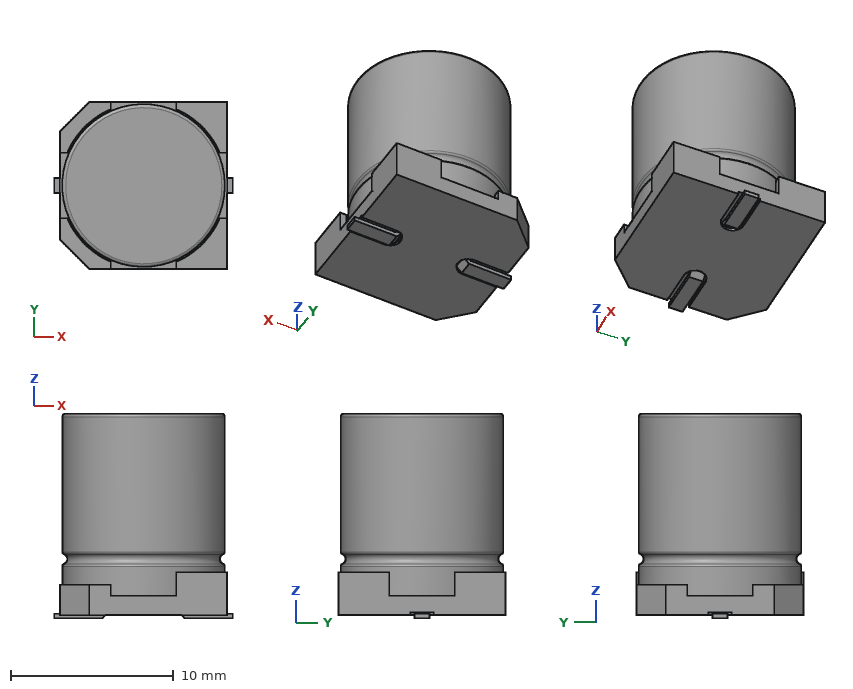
import cadquery as cq
import math


total_height = 12.6
lead_span = 11.0
base_side = 10.3

base_bottom = 0.2
seat_height = 1.39
low_corner_height = 2.08
high_corner_height = 2.85
corner_chamfer = 1.83
notch_width = 4.01
seat_clearance = 0.1

can_radius = 5.0
top_fillet = 0.2
groove_center_height = 3.65
groove_depth = 0.3
groove_radius = 0.33
lip_radius = 0.15

lead_width = 0.95
lead_thickness = 0.3
lead_bend_x = 2.55
slot_width = 1.46
slot_end_x = 2.02
slot_depth = 0.19


def make_plate(top_height):
    """Base outline with the two -X corners chamfered, raised to top_height."""
    return (
        cq.Workplane("XY", origin=(0, 0, base_bottom))
        .rect(base_side, base_side)
        .extrude(top_height - base_bottom)
        .edges("|Z and <X")
        .chamfer(corner_chamfer)
    )


def cut_box(body, size_x, size_y, center_x, floor_height):
    """Remove everything above floor_height within a rectangle centred at center_x."""
    cutter = (
        cq.Workplane("XY", origin=(center_x, 0, floor_height))
        .rect(size_x, size_y)
        .extrude(total_height)
    )
    return body.cut(cutter)


def make_base():
    """Seat floor with four corner posts around a round pocket for the can."""
    base = make_plate(high_corner_height)
    base = cut_box(base, base_side / 2, base_side, -base_side / 4, low_corner_height)
    base = cut_box(base, notch_width, base_side, 0, seat_height)
    base = cut_box(base, base_side, notch_width, 0, seat_height)
    pocket = (
        cq.Workplane("XY", origin=(0, 0, seat_height))
        .circle(can_radius + seat_clearance)
        .extrude(total_height)
    )
    return base.cut(pocket)


def make_can():
    """Revolved can whose groove has a round bottom blended into rounded lips."""
    arc_sum = groove_radius + lip_radius
    turn_angle = math.acos(1 - groove_depth / arc_sum)
    half_height = arc_sum * math.sin(turn_angle)
    groove_floor = can_radius - groove_depth

    lip_mid = (
        can_radius - lip_radius * (1 - math.cos(turn_angle / 2)),
        half_height - lip_radius * math.sin(turn_angle / 2),
    )
    blend = (
        can_radius - lip_radius * (1 - math.cos(turn_angle)),
        groove_radius * math.sin(turn_angle),
    )

    def above(point):
        return (point[0], groove_center_height + point[1])

    def below(point):
        return (point[0], groove_center_height - point[1])

    lip_end = (can_radius, half_height)
    profile = (
        cq.Workplane("XZ")
        .moveTo(0, seat_height)
        .lineTo(can_radius, seat_height)
        .lineTo(*below(lip_end))
        .threePointArc(below(lip_mid), below(blend))
        .threePointArc((groove_floor, groove_center_height), above(blend))
        .threePointArc(above(lip_mid), above(lip_end))
        .lineTo(can_radius, total_height)
        .lineTo(0, total_height)
        .close()
    )
    can = profile.revolve(360, (0, 0, 0), (0, 1, 0))
    return can.faces(">Z").edges().fillet(top_fillet)


def make_slot(side):
    """Underside slot on one X side, open outward and rounded at its inner end."""
    round_radius = slot_width / 2
    round_center_x = slot_end_x + round_radius
    outer_x = base_side / 2
    return (
        cq.Workplane("XY", origin=(0, 0, base_bottom))
        .moveTo(side * outer_x, -round_radius)
        .lineTo(side * round_center_x, -round_radius)
        .threePointArc((side * slot_end_x, 0), (side * round_center_x, round_radius))
        .lineTo(side * outer_x, round_radius)
        .close()
        .extrude(slot_depth)
    )


def make_lead(side):
    """Flat lead on one X side that bends up at 45 degrees into the base."""
    upper_bend_x = lead_bend_x + lead_thickness * math.tan(math.radians(22.5))
    embed_height = (base_bottom + seat_height) / 2
    outer_x = lead_span / 2
    points = [
        (outer_x, 0),
        (lead_bend_x, 0),
        (lead_bend_x - embed_height, embed_height),
        (upper_bend_x - (embed_height - lead_thickness), embed_height),
        (upper_bend_x, lead_thickness),
        (outer_x, lead_thickness),
    ]
    return (
        cq.Workplane("XZ")
        .polyline([(side * x, z) for x, z in points])
        .close()
        .extrude(lead_width / 2, both=True)
    )


result = make_base().union(make_can())
for side in (-1, 1):
    result = result.cut(make_slot(side)).union(make_lead(side))